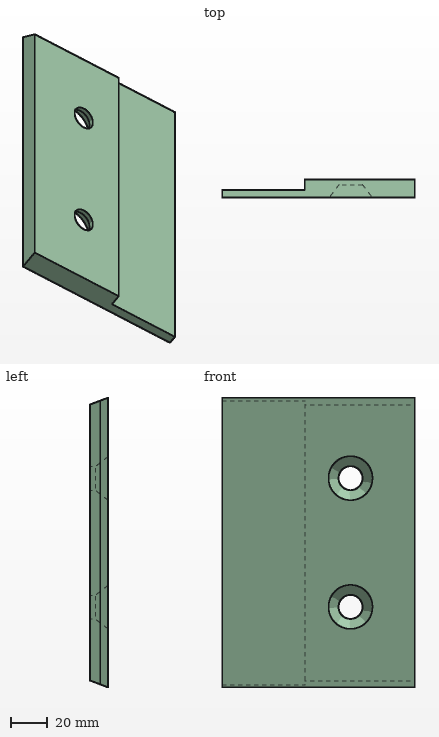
import cadquery as cq

width = 105.0
thickness = 10.0
height = 158.0

flange_width = 45.0
flange_thickness = 4.3

bevel_inset = 3.8

hole_x = 70.0
hole_spacing = 70.2
hole_diameter = 13.0
sink_diameter = 24.0
sink_depth = 7.1


def bevelled_plate():
    """Trapezoidal Y-Z section extruded along X."""
    section = [
        (0, 0),
        (thickness, bevel_inset),
        (thickness, height - bevel_inset),
        (0, height),
    ]
    return cq.Workplane("YZ").polyline(section).close().extrude(width)


def flange_relief():
    """Material removed behind the thin flange."""
    return cq.Workplane("XY").box(
        flange_width, thickness - flange_thickness, height, centered=False
    ).translate((0, flange_thickness, 0))


def countersunk_hole(z):
    """Through hole with a conical sink opening on the front face."""
    start = cq.Vector(hole_x, 0, z)
    inward = cq.Vector(0, 1, 0)
    bore = cq.Solid.makeCylinder(hole_diameter / 2, thickness, start, inward)
    sink = cq.Solid.makeCone(sink_diameter / 2, hole_diameter / 2, sink_depth, start, inward)
    return bore.fuse(sink)


result = bevelled_plate().cut(flange_relief())
for side in (-1, 1):
    result = result.cut(countersunk_hole(height / 2 + side * hole_spacing / 2))